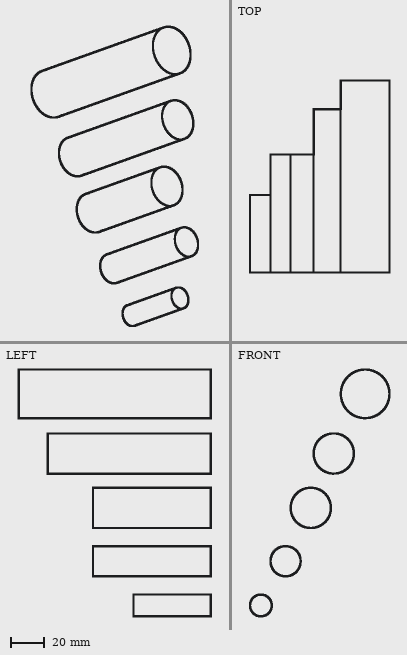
import cadquery as cq

SMALL_DIAMETER = 13.0
MEDIUM_SMALL_DIAMETER = 18.0
MEDIUM_DIAMETER = 24.0
LARGE_DIAMETER = 29.0

SHORT_LENGTH = 46.0
MIDDLE_LENGTH = 70.0
LONG_LENGTH = 96.8
FULL_LENGTH = 114.0

OVERALL_HEIGHT = 146.5
TOP_PIN_X = 61.8
TOP_PIN_Z = OVERALL_HEIGHT - (SMALL_DIAMETER + LARGE_DIAMETER) / 2

PINS = [
    (0.0, 0.0, SMALL_DIAMETER, SHORT_LENGTH),
    (14.6, 26.2, MEDIUM_SMALL_DIAMETER, MIDDLE_LENGTH),
    (29.6, 57.9, MEDIUM_DIAMETER, MIDDLE_LENGTH),
    (43.2, 90.1, MEDIUM_DIAMETER, LONG_LENGTH),
    (TOP_PIN_X, TOP_PIN_Z, LARGE_DIAMETER, FULL_LENGTH),
]


def make_pin(center_x, center_z, diameter, length):
    """Return one plain round pin with its axis along Y."""
    return (
        cq.Workplane("XZ")
        .center(center_x, center_z)
        .circle(diameter / 2)
        .extrude(-length)
    )


pins = [make_pin(*pin).val() for pin in PINS]

result = cq.Compound.makeCompound(pins)